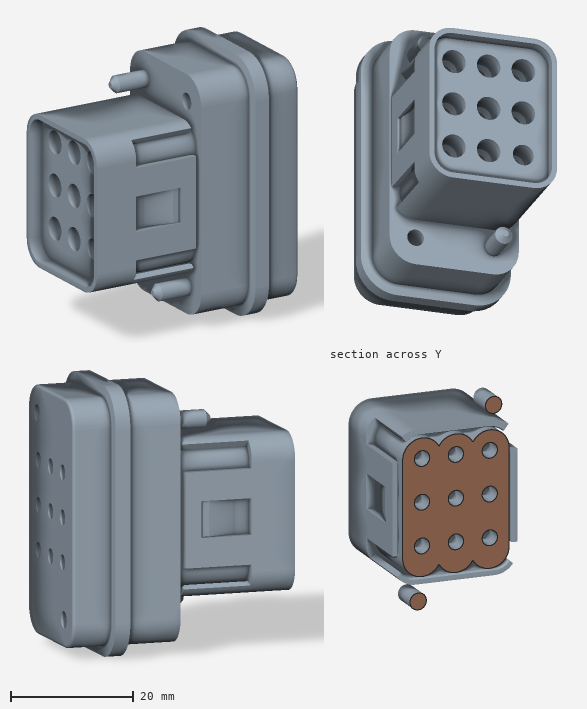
import cadquery as cq
import math


total_depth = 38.6

flange_width = 25.95
flange_height = 45.15
flange_overhang = 1.8
flange_front = 9.08
flange_thickness = 3.1
flange_bevel_width = 1.2
flange_bevel_depth = 0.25
block_width = flange_width - 2 * flange_overhang
block_height = flange_height - 2 * flange_overhang
block_depth = 18.7
block_corner = 4.5
block_back_fillet = 0.5
flange_corner = block_corner + flange_overhang

guide_x = 6.7
guide_z = 16.07
pin_radius = 1.5
pin_tip_radius = 0.55
pin_length = 6.55
socket_radius = 1.45

contact_pitch_x = 6.0
contact_pitch_z = 7.5
contact_offset_z = 0.85
bore_radius = 1.3
mouth_radius = 2.05
keyed_mouth_radius = 1.8

column_radius = 3.48
core_height = 23.85
core_side = contact_pitch_x + column_radius

cap_width = 22.12
cap_height = 26.55
cap_corner = 4.05
cap_gap = 0.85
cap_front = block_depth - total_depth
cap_back = -cap_gap
recess_wall = 0.9
recess_depth = 2.35
pocket_end = -12.35
pocket_wall = 1.1
pocket_top_corner = 4.05
pocket_bottom_corner = 2.8
lead_in_width = 0.23
lead_in_depth = 0.45

tongue_half_height = 8.0
top_slot_angle = 52
bottom_slot_angle = 36
window_half_height = 3.05
window_start = -3.7

catch_half_height = 2.95
catch_height = 1.2
catch_start = -4.0
catch_flat_end = -5.05
catch_ramp_end = -10.02

contact_columns = [i * contact_pitch_x for i in (-1, 0, 1)]
contact_rows = [contact_offset_z + i * contact_pitch_z for i in (-1, 0, 1)]
contact_places = [(x, z) for x in contact_columns for z in contact_rows]
keyed_place = (contact_columns[-1], contact_rows[0])


def section(y):
    """Workplane parallel to XZ at the given y, extruding toward -Y."""
    return cq.Workplane("XZ", origin=(0, y, 0))


def rounded_block(width, height, corner, y_back, y_front):
    """Box of rounded rectangular section between two y positions."""
    block = section(y_back).rect(width, height).extrude(y_back - y_front)
    return block.edges("|Y").fillet(corner)


def rod(x, z, radius, y_back, y_front):
    return section(y_back).center(x, z).circle(radius).extrude(y_back - y_front)


def taper(x, z, back_radius, front_radius, y_back, y_front):
    """Cone frustum along Y, with its own radius at each end."""
    return cq.Workplane(
        cq.Solid.makeCone(
            back_radius,
            front_radius,
            y_back - y_front,
            pnt=cq.Vector(x, y_back, z),
            dir=cq.Vector(0, -1, 0),
        )
    )


def make_flange():
    """Flange whose two faces slope away toward the rim."""
    flange = rounded_block(
        flange_width, flange_height, flange_corner, flange_front + flange_thickness, flange_front
    )
    flange = flange.faces("<Y").chamfer(flange_bevel_depth, flange_bevel_width)
    return flange.faces(">Y").chamfer(flange_bevel_depth, flange_bevel_width)


def make_core():
    """Round-ended columns side by side, reaching into the cap pocket."""
    core = None
    for x in contact_columns:
        column = (
            section(0).center(x, 0).slot2D(core_height, 2 * column_radius, 90).extrude(-pocket_end)
        )
        core = column if core is None else core.union(column)
    return core


def make_catch(side):
    """Ramped catch on one flank of the core: side is -1 for -X and +1 for +X."""
    top = core_side + catch_height
    profile = [
        (side * contact_pitch_x, catch_start),
        (side * top, catch_start),
        (side * top, catch_flat_end),
        (side * core_side, catch_ramp_end),
        (side * contact_pitch_x, catch_ramp_end),
    ]
    return cq.Workplane("XY").polyline(profile).close().extrude(catch_half_height, both=True)


def make_guide_pin(x, z):
    """Pin with a blunt 45 degree tip."""
    tip_start = pin_radius - pin_tip_radius - pin_length
    pin = rod(x, z, pin_radius, 0, tip_start)
    return pin.union(taper(x, z, pin_radius, pin_tip_radius, tip_start, -pin_length))


def make_housing():
    housing = rounded_block(block_width, block_height, block_corner, block_depth, 0)
    housing = housing.faces(">Y").edges().fillet(block_back_fillet)
    housing = housing.union(make_flange()).union(make_core())
    for side in (-1, 1):
        housing = housing.union(make_catch(side))
        housing = housing.union(make_guide_pin(side * guide_x, -side * guide_z))
        housing = housing.cut(rod(side * guide_x, side * guide_z, socket_radius, block_depth, 0))
    for x, z in contact_places:
        housing = housing.cut(rod(x, z, bore_radius, block_depth, pocket_end))
    return housing


def make_pocket():
    """Space for the core at the back of the cap, with a bevelled mouth."""
    width = cap_width - 2 * pocket_wall
    height = cap_height - 2 * pocket_wall
    pocket = section(cap_back).rect(width, height).extrude(cap_back - pocket_end)
    pocket = pocket.edges("|Y and >Z").fillet(pocket_top_corner)
    pocket = pocket.edges("|Y and <Z").fillet(pocket_bottom_corner)
    mouth = pocket.faces(">Y").wires().toPending().workplane().offset2D(lead_in_width)
    slope = math.degrees(math.atan2(lead_in_width, lead_in_depth))
    return pocket.union(mouth.extrude(-lead_in_depth, taper=slope, combine=False))


def make_latch_slot(side, end, angle):
    """Gap beside a tongue; its far wall is radial to the rounded corner of the cap."""
    corner_x = cap_width / 2 - cap_corner
    corner_z = cap_height / 2 - cap_corner
    outside_x = cap_width
    far_z = corner_z + (outside_x - corner_x) * math.tan(math.radians(angle))
    outline = [
        (side * corner_x, end * tongue_half_height),
        (side * outside_x, end * tongue_half_height),
        (side * outside_x, end * far_z),
        (side * corner_x, end * corner_z),
    ]
    return section(cap_back).polyline(outline).close().extrude(cap_back - pocket_end)


def make_window(side):
    """Opening through a tongue for the catch."""
    inner_x = side * contact_pitch_x
    depth = cap_width / 2
    length = window_start - pocket_end
    return (
        section(window_start)
        .center(inner_x + side * depth / 2, 0)
        .rect(depth, 2 * window_half_height)
        .extrude(length)
    )


def make_contact_hole(place, floor):
    """Straight hole from the recess floor, narrowing at 45 degrees to the contact bore."""
    radius = keyed_mouth_radius if place == keyed_place else mouth_radius
    cone_front = pocket_end - (radius - bore_radius)
    hole = rod(*place, radius, cone_front, floor)
    return hole.union(taper(*place, bore_radius, radius, pocket_end, cone_front))


def make_cap():
    floor = cap_front + recess_depth
    cap = rounded_block(cap_width, cap_height, cap_corner, cap_back, cap_front)
    recess = rounded_block(
        cap_width - 2 * recess_wall,
        cap_height - 2 * recess_wall,
        cap_corner - recess_wall,
        floor,
        cap_front,
    )
    cap = cap.cut(recess).cut(make_pocket())
    for side in (-1, 1):
        cap = cap.cut(make_latch_slot(side, 1, top_slot_angle))
        cap = cap.cut(make_latch_slot(side, -1, bottom_slot_angle))
        cap = cap.cut(make_window(side))
    for place in contact_places:
        cap = cap.cut(make_contact_hole(place, floor))
    return cap


housing = make_housing()
cap = make_cap()
result = cq.Compound.makeCompound([housing.val(), cap.val()])